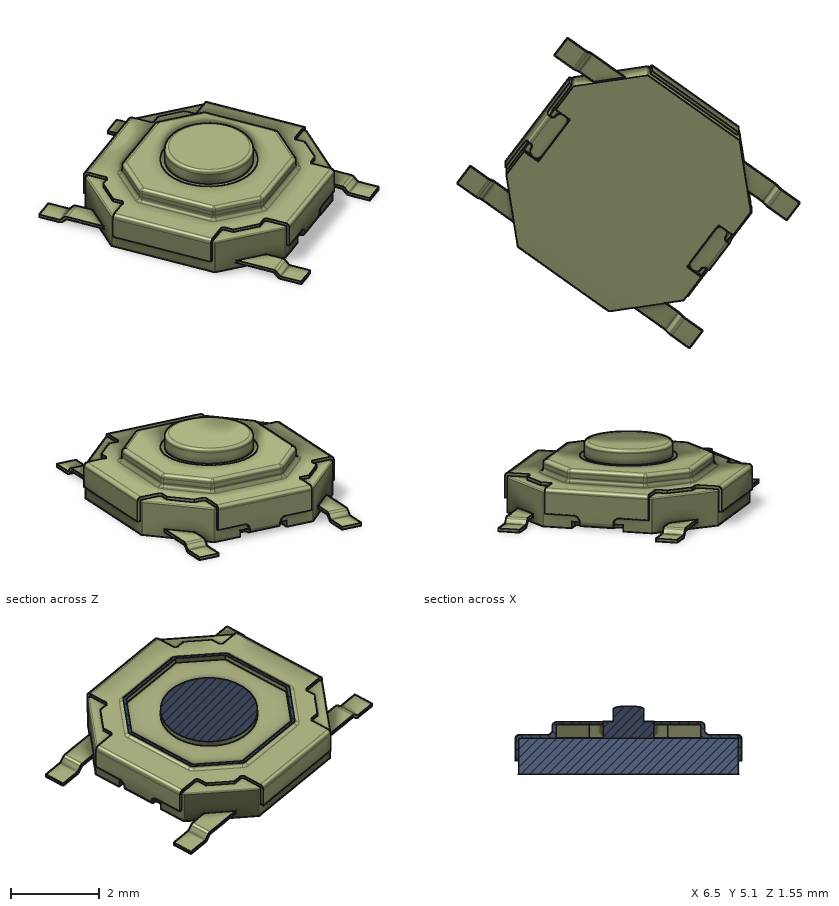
import cadquery as cq
import math

total_height = 1.55
dome_top = 1.195
cover_top = 0.9
flap_bottom = 0.31

cover_width = 5.1
sheet = 0.07
cover_edge_radius = 0.1
flap_half_length = 1.215
notch_depth_corner = 1.945
notch_diagonal_start = 1.49
notch_corner_radius = 0.07

dome_half_width = 1.75
dome_flat_half_length = 0.91
dome_corner_radius = 0.105
dome_edge_radius = 0.1
plunger_hole_diameter = 2.2

tab_half_width = 0.39
tab_root_radius = 0.15
tab_bottom = 0.06
tab_bend_radius = 0.1
hook_half_width = 0.6
hook_front = 2.38
hook_back = 2.08
hook_corner_radius = 0.135
hook_neck_radius = 0.065

base_half_width = cover_width / 2 - sheet
base_top = cover_top - sheet
base_flat_half_length = 1.28
base_edge_radius = 0.03

recess_half_width = 0.605
recess_top = 0.155

button_diameter = 2.0
button_edge_radius = 0.085

terminal_tip = 3.25
terminal_thickness = 0.07
terminal_top = 0.2
terminal_width = 0.5
terminal_offset = 1.85
terminal_foot_end = 2.74
terminal_inner_radius = 0.03
terminal_inner_end = 1.3


def octagon(half_width, flat_half_length, bottom, top):
    """Upright octagonal prism with four sides along X and Y and four diagonal ones."""
    corner_cut = half_width - flat_half_length
    return (
        cq.Workplane("XY", origin=(0, 0, bottom))
        .rect(2 * half_width, 2 * half_width)
        .extrude(top - bottom)
        .edges("|Z")
        .chamfer(corner_cut)
    )


def in_four_corners(shape):
    """The shape of the +X +Y corner together with its three mirror images."""
    pair = shape.union(shape.mirror("YZ"))
    return pair.union(pair.mirror("XZ"))


def on_both_sides(shape):
    """The shape of the -X side together with its mirror image at +X."""
    return shape.union(shape.mirror("YZ"))


def bent_strip():
    """Strip at -X that runs straight down from the flap and then bends inward under the base."""
    outer = -cover_width / 2
    profile = (
        cq.Workplane("XZ", origin=(0, tab_half_width, 0))
        .moveTo(outer, flap_bottom)
        .lineTo(outer, tab_bottom)
        .lineTo(-hook_back, tab_bottom)
        .lineTo(-hook_back, tab_bottom + sheet)
        .lineTo(outer + sheet, tab_bottom + sheet)
        .lineTo(outer + sheet, flap_bottom)
        .close()
        .extrude(2 * tab_half_width)
    )
    bent = profile.edges("|Y and <X and <Z").fillet(tab_bend_radius)
    inner_bend = cq.selectors.NearestToPointSelector((outer + sheet, 0, tab_bottom + sheet))
    return bent.edges(inner_bend).fillet(tab_bend_radius - sheet)


def hook_plate():
    """Rounded plate that widens the inner end of the strip into a T-shaped hook."""
    plate = (
        cq.Workplane("XY", origin=(0, 0, tab_bottom))
        .center(-(hook_front + hook_back) / 2, 0)
        .rect(hook_front - hook_back, 2 * hook_half_width)
        .extrude(sheet)
    )
    return plate.edges("|Z").fillet(hook_corner_radius)


def latch_tab():
    """Bent strip and hook plate in one piece, with rounded inner corners at the neck."""
    tab = bent_strip().union(hook_plate())
    for side in (-1, 1):
        neck = cq.selectors.NearestToPointSelector((-hook_front, side * tab_half_width, tab_bottom + sheet / 2))
        tab = tab.edges(neck).fillet(hook_neck_radius)
    return tab


def tab_root_fillets():
    """Concave quarter rounds between the lower edge of the -X flap and the sides of the tab."""
    square = (
        cq.Workplane("YZ", origin=(-cover_width / 2, 0, 0))
        .pushPoints([(side * (tab_half_width + tab_root_radius / 2), flap_bottom - tab_root_radius / 2)
                     for side in (-1, 1)])
        .rect(tab_root_radius, tab_root_radius)
        .extrude(sheet)
    )
    rounds = (
        cq.Workplane("YZ", origin=(-cover_width / 2, 0, 0))
        .pushPoints([(side * (tab_half_width + tab_root_radius), flap_bottom - tab_root_radius)
                     for side in (-1, 1)])
        .circle(tab_root_radius)
        .extrude(sheet)
    )
    return square.cut(rounds)


def terminal():
    """Terminal of the -X -Y corner, bent at 45 degrees between its foot and its shank."""
    diagonal = math.sin(math.radians(45))
    drop = 1 - diagonal
    inner = terminal_inner_radius
    outer = inner + terminal_thickness
    rise = terminal_top - terminal_thickness
    bends_rise = (inner + outer) * drop
    slope_run = rise - bends_rise
    foot_end = -terminal_foot_end
    shank_start = foot_end + (inner + outer) * diagonal + slope_run
    half_turn = math.radians(22.5)

    def on_arc(center_x, center_z, radius, side, angle):
        """Point at an angle from vertical; side is 1 above and left of the centre, -1 below and right."""
        return (center_x - side * radius * math.sin(angle), center_z + side * radius * math.cos(angle))

    foot_center = (foot_end, outer)
    shank_center = (shank_start, terminal_top - outer)
    full_turn = math.radians(45)
    profile = (
        cq.Workplane("XZ", origin=(0, -terminal_offset + terminal_width / 2, 0))
        .moveTo(-terminal_tip, 0)
        .lineTo(foot_end, 0)
        .threePointArc(on_arc(*foot_center, outer, -1, half_turn), on_arc(*foot_center, outer, -1, full_turn))
        .lineTo(*on_arc(*shank_center, inner, 1, full_turn))
        .threePointArc(on_arc(*shank_center, inner, 1, half_turn), on_arc(*shank_center, inner, 1, 0))
        .lineTo(-terminal_inner_end, terminal_top - terminal_thickness)
        .lineTo(-terminal_inner_end, terminal_top)
        .lineTo(shank_start, terminal_top)
        .threePointArc(on_arc(*shank_center, outer, 1, half_turn), on_arc(*shank_center, outer, 1, full_turn))
        .lineTo(*on_arc(*foot_center, inner, -1, full_turn))
        .threePointArc(on_arc(*foot_center, inner, -1, half_turn), on_arc(*foot_center, inner, -1, 0))
        .lineTo(-terminal_tip, terminal_thickness)
        .close()
        .extrude(terminal_width)
    )
    return profile


front_left = terminal()
terminals = []
for side_pair in (front_left, front_left.mirror("XZ")):
    for one_terminal in (side_pair, side_pair.mirror("YZ")):
        terminals.append(one_terminal)


def base_block():
    """Octagonal block with softened upright and top edges."""
    block = octagon(base_half_width, base_flat_half_length, 0, base_top)
    return block.edges("|Z or >Z").fillet(base_edge_radius)


def tab_recess():
    """Recess at the foot of the -X side, open below, that holds the hook."""
    return cq.Workplane("XY").box(
        base_half_width - hook_back, 2 * recess_half_width, recess_top, centered=(False, True, False)
    ).translate((-base_half_width, 0, 0))


block = base_block()
base = block.cut(on_both_sides(tab_recess()))
for one_terminal in terminals:
    base = base.cut(one_terminal)


def corner_notch():
    """Upright prism that clears the cover from one diagonal corner of the base."""
    outside = cover_width
    notch = (
        cq.Workplane("XY")
        .moveTo(flap_half_length, outside)
        .lineTo(flap_half_length, notch_depth_corner)
        .lineTo(notch_diagonal_start, notch_depth_corner)
        .lineTo(notch_depth_corner, notch_diagonal_start)
        .lineTo(notch_depth_corner, flap_half_length)
        .lineTo(outside, flap_half_length)
        .lineTo(outside, outside)
        .close()
        .extrude(total_height)
    )
    ends = [(flap_half_length, notch_depth_corner, 0), (notch_depth_corner, flap_half_length, 0)]
    for x, y, z in ends:
        upright = cq.selectors.NearestToPointSelector((x, y, total_height / 2))
        notch = notch.edges(upright).fillet(notch_corner_radius)
    return notch


def cover_shell():
    """Flat top with four downturned flaps and the raised dome, before the plunger hole."""
    cap = (
        cq.Workplane("XY", origin=(0, 0, flap_bottom))
        .rect(cover_width, cover_width)
        .extrude(cover_top - flap_bottom)
        .faces(">Z")
        .edges()
        .fillet(cover_edge_radius)
    )
    dome = octagon(dome_half_width, dome_flat_half_length, cover_top - sheet, dome_top)
    dome = dome.edges("|Z").fillet(dome_corner_radius)
    shell = cap.union(dome)
    foot = cq.selectors.BoxSelector(
        (-dome_half_width - 0.005, -dome_half_width - 0.005, cover_top - 0.005),
        (dome_half_width + 0.005, dome_half_width + 0.005, cover_top + 0.005),
    )
    shell = shell.edges(foot).fillet(dome_edge_radius)
    shell = shell.faces(">Z").edges().fillet(dome_edge_radius)
    return shell.cut(in_four_corners(corner_notch())).cut(block)


def dome_cavity():
    """Hollow under the dome that leaves one sheet thickness all round."""
    half_width = dome_half_width - sheet
    flat = dome_flat_half_length - sheet * math.tan(math.radians(22.5))
    return octagon(half_width, flat, base_top, dome_top - sheet)


plunger_hole = cq.Workplane("XY").circle(plunger_hole_diameter / 2).extrude(total_height)
cover = cover_shell().cut(dome_cavity()).cut(plunger_hole)
cover = cover.union(on_both_sides(latch_tab())).union(on_both_sides(tab_root_fillets()))

shoulder = (
    cq.Workplane("XY", origin=(0, 0, base_top))
    .circle(plunger_hole_diameter / 2)
    .extrude(dome_top - base_top)
)
button = (
    shoulder.faces(">Z")
    .workplane()
    .circle(button_diameter / 2)
    .extrude(total_height - dome_top)
    .faces(">Z")
    .edges()
    .fillet(button_edge_radius)
)

result = cq.Compound.makeCompound(
    [base.val(), cover.val(), button.val(), *[one_terminal.val() for one_terminal in terminals]]
)